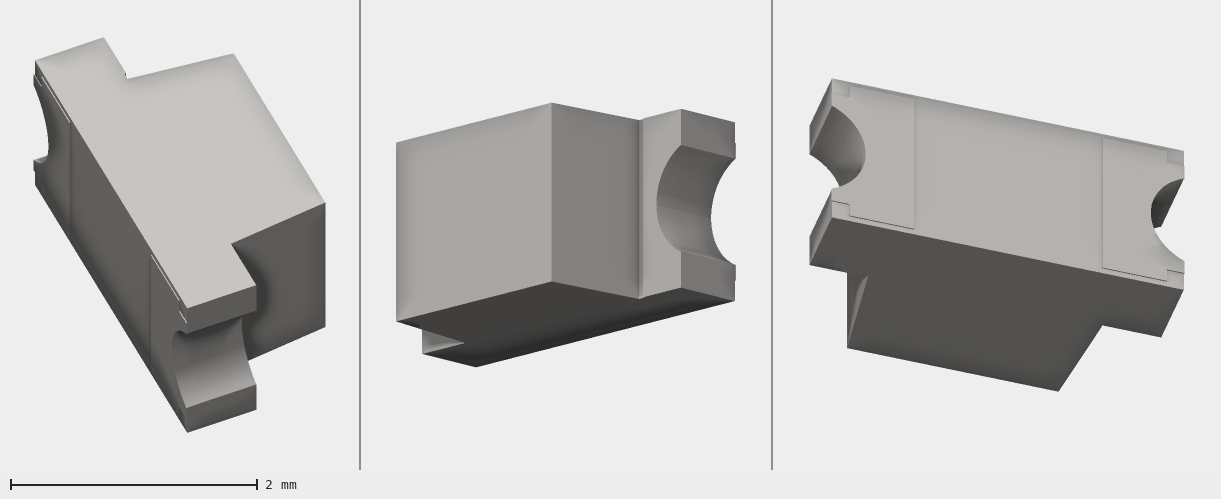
import cadquery as cq

length = 3.0
height = 1.5
foil = 0.01
back_foil = 0.015
pad_overhang = 0.0045

base_length = length - 2 * pad_overhang
base_depth = 0.6

dome_depth = 0.9
dome_base_inset = 0.5
dome_tip_inset = 0.6
dome_base_half = length / 2 - dome_base_inset
dome_tip_half = length / 2 - dome_tip_inset

notch_radius = 0.492
notch_depth = 0.288
notch_center_x = length / 2 - notch_depth + notch_radius

pad_inner_x = length / 2 - 0.7
pad_outer_x = length / 2
pad_half_height = height / 2 - 0.05
pad_step_x = pad_outer_x - 0.15
pad_step_half_height = height / 2 - 0.175

left_back_pad_inner_x = length / 2 - 0.44
right_back_pad_inner_x = dome_base_half

LEFT, RIGHT = -1, 1
LOWER, UPPER = -1, 1


def prism(outline, y_front, depth):
    """Extrude an XZ outline from y_front toward +Y."""
    return cq.Workplane("XZ", origin=(0, y_front, 0)).polyline(outline).close().extrude(-depth)


def block(x_start, x_end, y_front, depth):
    """Full-height block between two X positions."""
    half = height / 2
    outline = [(x_start, -half), (x_end, -half), (x_end, half), (x_start, half)]
    return prism(outline, y_front, depth)


def notch_cylinder(side, radius):
    """Cylinder along Y, long enough to pass through the base and its pads."""
    return (
        cq.Workplane("XZ", origin=(0, -base_depth - foil, 0))
        .center(side * notch_center_x, 0)
        .circle(radius)
        .extrude(-(base_depth + foil + back_foil))
    )


def make_housing():
    """Rectangular base and tapered dome in one piece, with room for the notch linings."""
    base = block(-base_length / 2, base_length / 2, -base_depth, base_depth)
    for side in (LEFT, RIGHT):
        base = base.cut(notch_cylinder(side, notch_radius + foil))
    dome_outline = [
        (-dome_base_half, 0),
        (dome_base_half, 0),
        (dome_tip_half, dome_depth),
        (-dome_tip_half, dome_depth),
    ]
    dome = (
        cq.Workplane("XY", origin=(0, 0, -height / 2))
        .polyline(dome_outline)
        .close()
        .extrude(height)
    )
    return base.union(dome)


def make_front_pad(side):
    upper = [
        (pad_outer_x, pad_step_half_height),
        (pad_step_x, pad_step_half_height),
        (pad_step_x, pad_half_height),
        (pad_inner_x, pad_half_height),
    ]
    lower = [(x, -z) for x, z in reversed(upper)]
    outline = [(side * x, z) for x, z in upper + lower]
    pad = prism(outline, -base_depth - foil, foil)
    return pad.cut(notch_cylinder(side, notch_radius))


def make_back_pad(side, inner_x):
    pad = block(side * inner_x, side * base_length / 2, 0, back_foil)
    return pad.cut(notch_cylinder(side, notch_radius))


def make_notch_lining(side, half):
    """Upper or lower half of the thin shell that covers a notch wall."""
    shell = notch_cylinder(side, notch_radius + foil).cut(notch_cylinder(side, notch_radius))
    edge_x = base_length / 2
    edge_z = half * height / 2
    half_outline = [(-edge_x, 0), (edge_x, 0), (edge_x, edge_z), (-edge_x, edge_z)]
    return shell.intersect(prism(half_outline, -base_depth, base_depth))


housing = make_housing()
front_pads = [make_front_pad(side) for side in (LEFT, RIGHT)]
back_pads = [
    make_back_pad(LEFT, left_back_pad_inner_x),
    make_back_pad(RIGHT, right_back_pad_inner_x),
]
notch_linings = [
    make_notch_lining(side, half)
    for side in (LEFT, RIGHT)
    for half in (LOWER, UPPER)
]

bodies = [housing, *front_pads, *back_pads, *notch_linings]
result = cq.Compound.makeCompound([body.val() for body in bodies])